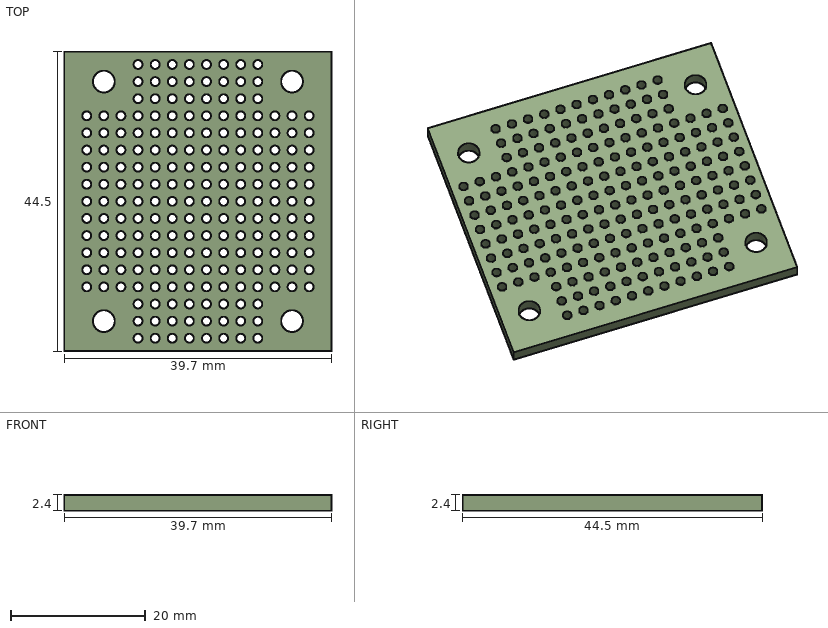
import cadquery as cq

width = 39.7
length = 44.45
thickness = 2.4

columns = 14
rows = 17
free_corner = 3
grid_length = 40.63
pitch = grid_length / (rows - 1)
grid_diameter = 1.3

mount_diameter = 3.2
mount_spacing_x = 11 * pitch
mount_spacing_y = 14 * pitch


def in_free_corner(column, row):
    """True where a grid position falls in one of the four free corners."""
    near_side = min(column, columns - 1 - column) < free_corner
    near_end = min(row, rows - 1 - row) < free_corner
    return near_side and near_end


def grid_points():
    """Hole centres of the grid, centred on the plate."""
    return [
        ((column - (columns - 1) / 2) * pitch, (row - (rows - 1) / 2) * pitch)
        for column in range(columns)
        for row in range(rows)
        if not in_free_corner(column, row)
    ]


plate = cq.Workplane("XY").box(width, length, thickness, centered=(True, True, False))

perforated_plate = (
    plate.faces(">Z")
    .workplane(centerOption="ProjectedOrigin", origin=(0, 0, 0))
    .pushPoints(grid_points())
    .hole(grid_diameter)
)

result = (
    perforated_plate.faces(">Z")
    .workplane(centerOption="ProjectedOrigin", origin=(0, 0, 0))
    .rect(mount_spacing_x, mount_spacing_y, forConstruction=True)
    .vertices()
    .hole(mount_diameter)
)